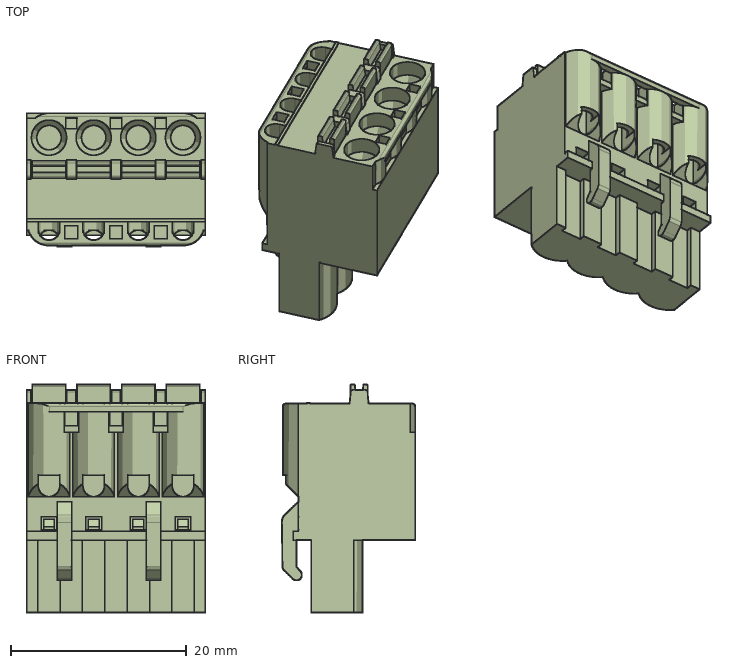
import cadquery as cq
import math


POLES = 4
WIDTH = 20.33
PITCH = WIDTH / POLES
HEIGHT = 26.0

BODY_BACK = 13.3
BODY_BOTTOM = 8.27
BODY_TOP = 23.82
TOP_EDGE_RADIUS = 0.35

BARREL_RADIUS = 2.47
BARREL_REACH = 1.77
BARREL_BOTTOM = 13.2
BARREL_Y = BARREL_RADIUS - BARREL_REACH

BAR_BOTTOM = 22.85
WINDOW_FLOOR = 21.3
WEB_BOTTOM = 20.51
WEB_WIDTH = 1.65
WEB_REACH = 1.1
FRONT_WINDOW_SIZE = 1.45
FRONT_WINDOW_BACK = 0.5
BACK_WINDOW_SIZE = 1.27
BACK_WINDOW_FRONT = 11.52
BACK_HOLLOW_DEPTH = 0.55

SLOT_WIDTH = 2.45
SLOT_BACK = 0.94
SLOT_CENTER_Y = 0.1
SLOT_SIDE_TOP = 15.65

HOLE_DIAMETER = 4.0
HOLE_FLOOR_DIAMETER = 2.78
HOLE_WALL_DEPTH = 1.87
HOLE_CONE_DEPTH = 1.05
HOLE_Y = 10.53

RIDGE_FRONT = 0.94
RIDGE_BACK = 1.3
RIDGE_HEIGHT = 0.065

RAIL_Y = 6.92
TAB_LENGTH = 3.82
TAB_THICKNESS = 2.0
TAB_EDGE_RADIUS = 0.2
TAB_INNER_RADIUS = 0.15
GROOVE_TOP_WIDTH = 0.95
GROOVE_FLOOR_WIDTH = 0.68
GROOVE_FLOOR = 24.7
BRIDGE_LENGTH = 1.07
END_BRIDGE_LENGTH = 0.47
BRIDGE_TOP = 25.35
BRIDGE_TOP_WIDTH = 1.87
BRIDGE_FOOT_WIDTH = 2.2
BRIDGE_EDGE_RADIUS = 0.2

PLUG_FRONT = 1.45
PLUG_BACK = 7.33
PLUG_LOBE_DEPTH = 1.05
FLUTE_WIDTH = 2.57
FLUTE_DEPTH = 0.68

LEDGE_TOP = 9.25
LEDGE_REACH = 0.6
TEST_WIDTH = 1.8
TEST_BOTTOM = 9.45
TEST_TOP = 10.9
WEDGE_FRONT = 0.52
WEDGE_WIDTH = 1.22
WEDGE_LIP = 9.8
WEDGE_TOP = 10.6

HOOK_WIDTH = 1.65
HOOK_POLE_OFFSET = 1.75
HOOK_TOP = 12.64
HOOK_REACH = 1.9
HOOK_SHOULDER = 10.82
HOOK_SHOULDER_RADIUS = 1.17
HOOK_TOE_REACH = 1.82
HOOK_TOE_Z = 5.02
HOOK_TOE_RADIUS = 0.65
HOOK_INNER_REACH = 0.2
HOOK_NECK_Z = 5.23
HOOK_TIP_Y = -0.2
HOOK_TIP_Z = 4.3
HOOK_TIP_RADIUS = 0.62
TIP_OUTER_ANGLE = math.radians(235)
TIP_INNER_ANGLE = math.radians(45)

JOIN = 0.25
PICK = 0.003

pole_xs = [PITCH * (i - (POLES - 1) / 2) for i in range(POLES)]
gap_xs = [x + PITCH / 2 for x in pole_xs[:-1]]


def block(x_mid, width, y0, y1, z0, z1):
    """Box centred on x_mid, between two Y and two Z levels."""
    size = (width, y1 - y0, z1 - z0)
    return cq.Workplane("XY").box(*size, centered=(True, False, False)).translate((x_mid, y0, z0))


def prism(points, x_mid, width):
    """Side outline of (Y, Z) points, extruded along X about x_mid."""
    outline = cq.Workplane("YZ").polyline(points).close()
    return outline.extrude(width / 2, both=True).translate((x_mid, 0, 0))


def pillar(x, y, radius, z0, z1):
    """Vertical cylinder between two Z levels."""
    return cq.Workplane("XY", origin=(x, y, z0)).circle(radius).extrude(z1 - z0)


def head():
    """Housing with barrels, all trimmed to one side profile."""
    solid = block(0, WIDTH, 0, BODY_BACK, BODY_BOTTOM, BODY_TOP)
    for x in pole_xs:
        solid = solid.union(pillar(x, BARREL_Y, BARREL_RADIUS, BODY_BOTTOM, BODY_TOP))
    for x in gap_xs:
        solid = solid.union(block(x, WEB_WIDTH, -WEB_REACH, JOIN, WEB_BOTTOM, BODY_TOP))
    bar_length = pole_xs[-1] - pole_xs[0]
    solid = solid.union(block(0, bar_length, -BARREL_REACH, JOIN, BAR_BOTTOM, BODY_TOP))
    profile = prism(
        [
            (BODY_BACK, BODY_BOTTOM),
            (0, BODY_BOTTOM),
            (0, BARREL_BOTTOM),
            (-BARREL_REACH, BARREL_BOTTOM + BARREL_REACH),
            (-BARREL_REACH, BODY_TOP),
            (BODY_BACK, BODY_TOP),
        ],
        0,
        WIDTH,
    )
    profile = profile.faces(">Z").edges("|X").fillet(TOP_EDGE_RADIUS)
    return solid.intersect(profile)


def back_hollow(x, top):
    """Shallow back recess about x, left between two rounded poles."""
    y0 = BODY_BACK - BACK_HOLLOW_DEPTH
    waste = block(x, PITCH, y0, BODY_BACK, WEB_BOTTOM, top)
    for side in (-1, 1):
        pole_x = x + side * PITCH / 2
        waste = waste.cut(pillar(pole_x, BODY_BACK - BARREL_RADIUS, BARREL_RADIUS, WEB_BOTTOM, top))
    return waste


def windows(x):
    """Square top pockets at one gap, the front one open outward beneath its bar."""
    front_y = FRONT_WINDOW_BACK - FRONT_WINDOW_SIZE
    back_y = BACK_WINDOW_FRONT + BACK_WINDOW_SIZE
    cutter = block(x, FRONT_WINDOW_SIZE, front_y, FRONT_WINDOW_BACK, WINDOW_FLOOR, BODY_TOP)
    cutter = cutter.union(
        block(x, FRONT_WINDOW_SIZE, -BARREL_REACH, FRONT_WINDOW_BACK, WINDOW_FLOOR, BAR_BOTTOM))
    return cutter.union(
        block(x, BACK_WINDOW_SIZE, BACK_WINDOW_FRONT, back_y, WINDOW_FLOOR, BODY_TOP))


def wire_slot(x):
    """Slot from the top that leaves through the barrel front over a round trough."""
    radius = SLOT_WIDTH / 2
    trough_z = BARREL_BOTTOM + radius
    cutter = block(x, SLOT_WIDTH, SLOT_CENTER_Y, SLOT_BACK, trough_z, BODY_TOP)
    front_round = pillar(x, SLOT_CENTER_Y, radius, trough_z, BODY_TOP)
    front_round = front_round.cut(block(x, SLOT_WIDTH, SLOT_BACK, BODY_BACK, trough_z, BODY_TOP))
    cutter = cutter.union(front_round)
    cutter = cutter.union(block(x, SLOT_WIDTH, -BARREL_REACH, SLOT_BACK, trough_z, SLOT_SIDE_TOP))
    trough = cq.Workplane("XZ", origin=(x, SLOT_BACK, trough_z)).circle(radius)
    return cutter.union(trough.extrude(SLOT_BACK + BARREL_REACH))


def entry_hole(x):
    """Round hole ending in a cone with a flat floor."""
    rim = HOLE_DIAMETER / 2
    floor = HOLE_FLOOR_DIAMETER / 2
    cone_top = -HOLE_WALL_DEPTH
    cone_bottom = cone_top - HOLE_CONE_DEPTH
    half = [(0, 0), (rim, 0), (rim, cone_top), (floor, cone_bottom), (0, cone_bottom)]
    return cq.Workplane("XZ").polyline(half).close().revolve().translate((x, HOLE_Y, BODY_TOP))


def test_window(x):
    """Square recess holding a raised wedge that slopes up at 45 degrees to its back wall."""
    wedge_back = WEDGE_FRONT + WEDGE_TOP - WEDGE_LIP
    recess = block(x, TEST_WIDTH, 0, wedge_back, TEST_BOTTOM, TEST_TOP)
    wedge = prism(
        [
            (WEDGE_FRONT, TEST_BOTTOM),
            (WEDGE_FRONT, WEDGE_LIP),
            (wedge_back, WEDGE_TOP),
            (wedge_back, TEST_BOTTOM),
        ],
        x,
        WEDGE_WIDTH,
    )
    return recess.cut(wedge)


def tab(x):
    """Marker tab with a tapered groove along its top and rounded rims."""
    y0 = RAIL_Y - TAB_THICKNESS / 2
    solid = block(x, TAB_LENGTH, y0, y0 + TAB_THICKNESS, BODY_TOP, HEIGHT)
    solid = solid.faces(">Z").edges("|X").fillet(TAB_EDGE_RADIUS)
    groove = prism(
        [
            (RAIL_Y - GROOVE_TOP_WIDTH / 2, HEIGHT),
            (RAIL_Y - GROOVE_FLOOR_WIDTH / 2, GROOVE_FLOOR),
            (RAIL_Y + GROOVE_FLOOR_WIDTH / 2, GROOVE_FLOOR),
            (RAIL_Y + GROOVE_TOP_WIDTH / 2, HEIGHT),
        ],
        x,
        TAB_LENGTH,
    )
    solid = solid.cut(groove)
    reach = GROOVE_TOP_WIDTH / 2 + PICK
    near = (x - PICK, RAIL_Y - reach, HEIGHT - PICK)
    far = (x + PICK, RAIL_Y + reach, HEIGHT + PICK)
    return solid.edges(cq.selectors.BoxSelector(near, far)).fillet(TAB_INNER_RADIUS)


def bridge(x, length):
    """Low tapered bridge with rounded top edges."""
    solid = prism(
        [
            (RAIL_Y - BRIDGE_FOOT_WIDTH / 2, BODY_TOP),
            (RAIL_Y - BRIDGE_TOP_WIDTH / 2, BRIDGE_TOP),
            (RAIL_Y + BRIDGE_TOP_WIDTH / 2, BRIDGE_TOP),
            (RAIL_Y + BRIDGE_FOOT_WIDTH / 2, BODY_TOP),
        ],
        x,
        length,
    )
    return solid.faces(">Z").edges("|X").fillet(BRIDGE_EDGE_RADIUS)


def plug():
    """Plug with a curved back lobe and a flute down the front at each pole."""
    lobe_y = PLUG_BACK - PLUG_LOBE_DEPTH
    solid = block(0, WIDTH, PLUG_FRONT, lobe_y, 0, BODY_BOTTOM)
    for x in pole_xs:
        lobe = cq.Workplane("XY").moveTo(x - PITCH / 2, lobe_y)
        lobe = lobe.threePointArc((x, PLUG_BACK), (x + PITCH / 2, lobe_y)).close()
        solid = solid.union(lobe.extrude(BODY_BOTTOM))
        solid = solid.cut(
            block(x, FLUTE_WIDTH, PLUG_FRONT, PLUG_FRONT + FLUTE_DEPTH, 0, BODY_BOTTOM))
    return solid


def tip_point(angle):
    """(Y, Z) point on the round hook tip, angle measured from +Y toward +Z."""
    y = HOOK_TIP_Y + HOOK_TIP_RADIUS * math.cos(angle)
    z = HOOK_TIP_Z + HOOK_TIP_RADIUS * math.sin(angle)
    return (y, z)


def hook(x):
    """Latch hook: sloped root, long outer face and a rounded tip turned inward."""
    shank = prism(
        [
            (0, HOOK_TOP),
            (-HOOK_REACH, HOOK_SHOULDER),
            (-HOOK_TOE_REACH, HOOK_TOE_Z),
            tip_point(TIP_OUTER_ANGLE),
            (HOOK_TIP_Y, HOOK_TIP_Z),
            tip_point(TIP_INNER_ANGLE),
            (-HOOK_INNER_REACH, HOOK_NECK_Z),
            (-HOOK_INNER_REACH, BODY_BOTTOM),
            (0, BODY_BOTTOM),
        ],
        x,
        HOOK_WIDTH,
    )
    shoulder = cq.NearestToPointSelector((x, -HOOK_REACH, HOOK_SHOULDER))
    shank = shank.edges(shoulder).fillet(HOOK_SHOULDER_RADIUS)
    toe = cq.NearestToPointSelector((x, -HOOK_TOE_REACH, HOOK_TOE_Z))
    shank = shank.edges(toe).fillet(HOOK_TOE_RADIUS)
    tip = cq.Workplane("YZ", origin=(x, HOOK_TIP_Y, HOOK_TIP_Z)).circle(HOOK_TIP_RADIUS)
    return shank.union(tip.extrude(HOOK_WIDTH / 2, both=True))


result = head().union(plug())
result = result.union(block(0, WIDTH, -LEDGE_REACH, JOIN, BODY_BOTTOM, LEDGE_TOP))
for side in (-1, 1):
    result = result.cut(back_hollow(side * WIDTH / 2, BODY_TOP))
for x in gap_xs:
    result = result.cut(back_hollow(x, BAR_BOTTOM))
    result = result.cut(windows(x))
for x in pole_xs:
    result = result.cut(wire_slot(x))
    result = result.cut(entry_hole(x))
    result = result.cut(test_window(x))

result = result.union(block(0, WIDTH, RIDGE_FRONT, RIDGE_BACK, BODY_TOP, BODY_TOP + RIDGE_HEIGHT))
for x in pole_xs:
    result = result.union(tab(x))
for x in gap_xs:
    result = result.union(bridge(x, BRIDGE_LENGTH))
for side in (-1, 1):
    end_x = side * (WIDTH - END_BRIDGE_LENGTH) / 2
    result = result.union(bridge(end_x, END_BRIDGE_LENGTH))
for x in pole_xs[::2]:
    result = result.union(hook(x + HOOK_POLE_OFFSET))